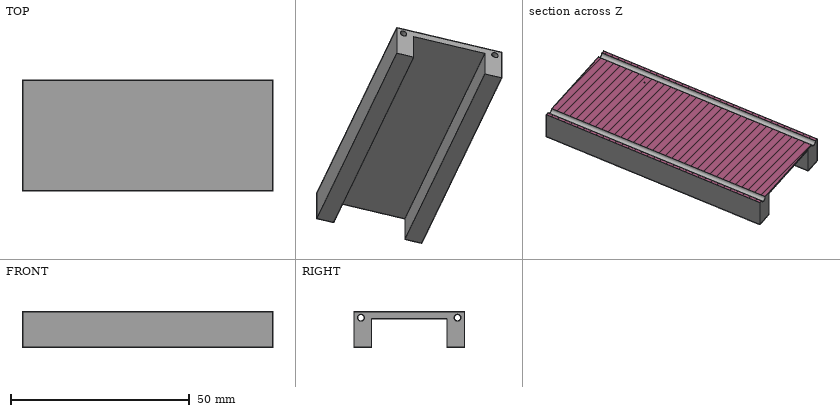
import cadquery as cq

length = 70.0
width = 31.0
height = 10.0
roof_thickness = 2.0
wall_thickness = 5.0

hole_diameter = 1.8
hole_side_inset = 2.0
hole_top_inset = 1.7

channel_width = width - 2 * wall_thickness
channel_height = height - roof_thickness


def cover_body():
    """Block with an open-bottomed channel along its whole length."""
    block = cq.Workplane("XY").box(length, width, height, centered=(True, True, False))
    channel = cq.Workplane("XY").box(length, channel_width, channel_height, centered=(True, True, False))
    return block.cut(channel)


def wall_holes():
    """Two holes along X, one in the top of each side wall."""
    hole_y = width / 2 - hole_side_inset
    hole_z = height - hole_top_inset
    return (
        cq.Workplane("YZ", origin=(-length / 2, 0, 0))
        .pushPoints([(-hole_y, hole_z), (hole_y, hole_z)])
        .circle(hole_diameter / 2)
        .extrude(length)
    )


result = cover_body().cut(wall_holes())